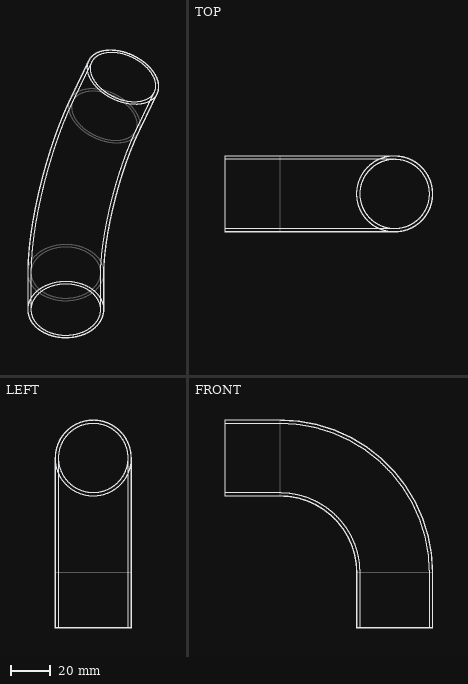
import cadquery as cq

overall_size = 104.0
outer_diameter = 38.1
inner_diameter = 34.8
tail_length = 27.7

bend_radius = overall_size - outer_diameter / 2 - tail_length


def elbow_rod(diameter):
    """Solid elbow: a tail along +X, a bend down towards -Z, then a vertical tail."""
    horizontal_tail = cq.Workplane("YZ").circle(diameter / 2).extrude(tail_length)
    bend = (
        cq.Workplane("YZ", origin=(tail_length, 0, 0))
        .circle(diameter / 2)
        .revolve(90, (0, -bend_radius), (1, -bend_radius))
    )
    vertical_tail = (
        cq.Workplane("XY", origin=(tail_length + bend_radius, 0, -bend_radius))
        .circle(diameter / 2)
        .extrude(-tail_length)
    )
    return horizontal_tail.union(bend).union(vertical_tail)


result = elbow_rod(outer_diameter).cut(elbow_rod(inner_diameter))